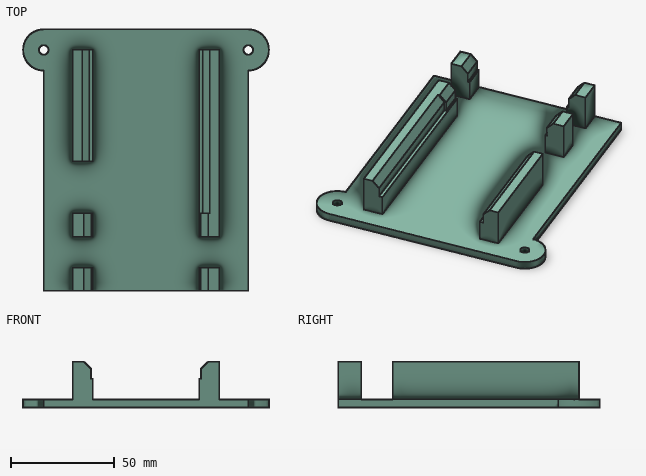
import cadquery as cq

plate_width = 98.63
plate_length = 126.23
plate_thickness = 4.0

lug_radius = 10.0
lug_y = plate_length - lug_radius
screw_hole_diameter = 4.5

overall_height = 22.19
inner_gap = 51.2
wall_thickness = 9.75
ledge_height = 14.0
lead_in = 3.4
post_ledge = 0.9
rail_ledge = 1.8

post_length = 11.25
rear_post_start = 26.25
left_rail_start = 62.6
rear_post_end = rear_post_start + post_length
rail_end = lug_y


def base_plate():
    plate = cq.Workplane("XY").box(
        plate_width, plate_length, plate_thickness, centered=(True, False, False)
    )
    lug_centres = [(-plate_width / 2, lug_y), (plate_width / 2, lug_y)]
    lugs = cq.Workplane("XY").pushPoints(lug_centres).circle(lug_radius).extrude(plate_thickness)
    holes = (
        cq.Workplane("XY").pushPoints(lug_centres).circle(screw_hole_diameter / 2).extrude(plate_thickness)
    )
    return plate.union(lugs).cut(holes)


def upright(side, y_start, y_end, ledge):
    """Wall on the left (side = -1) or right (side = 1) with a stepped, chamfered inner face."""
    inner = inner_gap / 2
    outer = inner + wall_thickness
    set_back = inner + ledge
    profile = [
        (inner, 0),
        (inner, ledge_height),
        (set_back, ledge_height),
        (set_back, overall_height - lead_in),
        (set_back + lead_in, overall_height),
        (outer, overall_height),
        (outer, 0),
    ]
    return (
        cq.Workplane("XZ", origin=(0, y_start, 0))
        .polyline([(side * x, z) for x, z in profile])
        .close()
        .extrude(y_start - y_end)
    )


result = base_plate()

result = result.union(upright(-1, left_rail_start, rail_end, rail_ledge))

result = result.union(upright(1, rear_post_end, rail_end, rail_ledge))

for side in (-1, 1):
    result = result.union(upright(side, 0, post_length, post_ledge))
    result = result.union(upright(side, rear_post_start, rear_post_end, post_ledge))